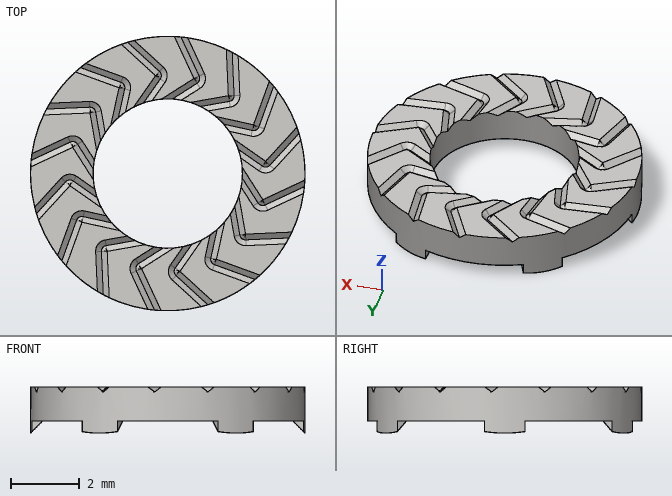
import cadquery as cq
import math

outer_diameter = 7.99
bore_diameter = 4.34
ring_height = 1.0

tooth_count = 6
tooth_height = 0.35
tooth_width = 1.18

groove_count = 16
groove_width = 0.335
groove_depth = 0.15
pivot_distance = 2.87
pivot_angle = 52.1
outer_arm_angle = 92.5
inner_arm_angle = 190.0
arm_length = 2.0

wedge_overrun = 0.08

outer_radius = outer_diameter / 2
bore_radius = bore_diameter / 2


def polar(distance, angle):
    radians = math.radians(angle)
    return (distance * math.cos(radians), distance * math.sin(radians), 0)


def repeat_around_axis(shape, count):
    return [shape.rotate((0, 0, 0), (0, 0, 1), index * 360 / count) for index in range(count)]


def tooth_wedge():
    """The space a +X tooth may fill, overlapping the ring above the base plane."""
    inner_x = outer_radius - tooth_height
    outer_x = outer_radius + wedge_overrun
    return (
        cq.Workplane("XZ")
        .moveTo(inner_x, 0)
        .lineTo(outer_x, -tooth_height - wedge_overrun)
        .lineTo(outer_x, ring_height)
        .lineTo(inner_x, ring_height)
        .close()
        .extrude(tooth_width / 2, both=True)
    )


def ring_with_teeth():
    """A tall ring, trimmed below the base plane to leave only the teeth."""
    tall_ring = (
        cq.Workplane("XY", origin=(0, 0, -tooth_height))
        .circle(outer_radius)
        .circle(bore_radius)
        .extrude(tooth_height + ring_height)
    )
    kept_space = cq.Workplane("XY").circle(outer_diameter).extrude(ring_height)
    for wedge in repeat_around_axis(tooth_wedge(), tooth_count):
        kept_space = kept_space.union(wedge)
    return tall_ring.intersect(kept_space)


def groove_section(normal_angle, outward_angle):
    """The V section across the groove, from the pivot out to the groove's outer edge."""
    pivot_x, pivot_y, _ = polar(pivot_distance, pivot_angle)
    section_plane = cq.Plane(
        origin=(pivot_x, pivot_y, ring_height),
        xDir=polar(1, outward_angle),
        normal=polar(1, normal_angle),
    )
    return (
        cq.Workplane(section_plane)
        .moveTo(0, 0)
        .lineTo(groove_width / 2, -groove_depth)
        .lineTo(groove_width, 0)
        .close()
    )


def groove_cutters():
    """The first groove as three cutters: the outer arm, the inner arm and the bend between them."""
    outer_arm = groove_section(outer_arm_angle + 180, outer_arm_angle - 90).extrude(-arm_length)
    inner_arm = groove_section(inner_arm_angle, inner_arm_angle + 90).extrude(arm_length)
    bend_sweep = 180 - (inner_arm_angle - outer_arm_angle)
    bend = groove_section(inner_arm_angle, inner_arm_angle + 90).revolve(bend_sweep, (0, 0), (0, 1))
    return [outer_arm, inner_arm, bend]


result = ring_with_teeth()
for cutter in groove_cutters():
    for copy in repeat_around_axis(cutter, groove_count):
        result = result.cut(copy)